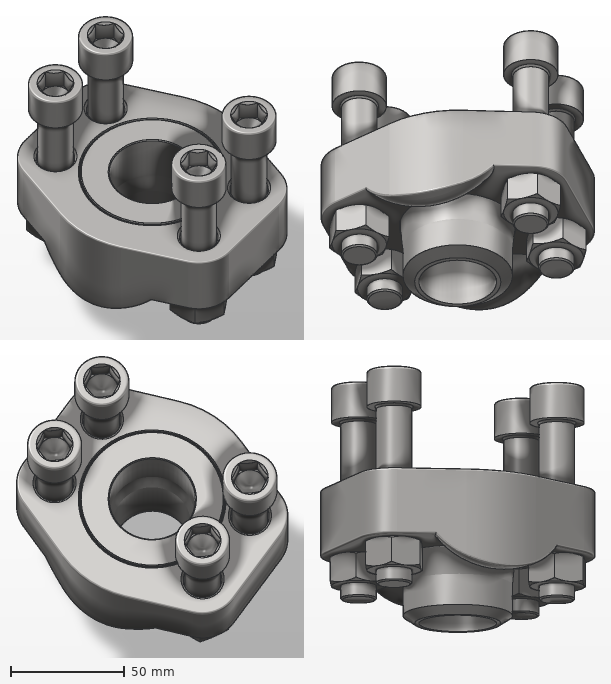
import cadquery as cq
import math


flange_length = 113.0
flange_half_width = 47.9
flange_height = 29.8
edge_round = 1.0
bolt_spacing_x = 79.4
bolt_spacing_y = 36.5
bolt_x = bolt_spacing_x / 2
bolt_y = bolt_spacing_y / 2
bolt_hole_diameter = 17.0
bolt_hole_chamfer = 1.0
corner_radius = flange_length / 2 - bolt_x

lobe_depth = 13.2
lobe_radius = 40.7
lobe_inner_y = 25.4
lobe_end_round = 17.5
rim_inner_limit = 45.2

collar_diameter = 63.5
collar_seat_diameter = 64.3
collar_height = 11.3
rim_chamfer = 0.5
hub_rise = 0.2
neck_diameter = 50.6
neck_bore_in_flange = 51.5
pipe_diameter = 48.3
taper_top = -0.5
taper_bottom = -12.7
hub_bottom = -29.7
bevel_height = 3.4
bevel_diameter = 38.0
hub_bore_diameter = 38.0
hub_outlet_diameter = 34.1
outlet_cone_bottom = -0.6
outlet_cone_height = 7.9

shank_diameter = 15.7
head_diameter = 24.0
head_height = 16.0
bolt_top = 76.7
bolt_bottom = -19.2
head_round = 1.4
neck_ring_diameter = 17.0
neck_ring_height = 1.0
tip_diameter = 14.4
socket_width = 14.0
socket_depth = 9.4
socket_turn = 40.0
drill_point_angle = 118.0

nut_width = 24.0
nut_height = 13.0
nut_chamfer_angle = 30.0

bolt_places = [(sx * bolt_x, sy * bolt_y) for sx in (-1, 1) for sy in (-1, 1)]


def hexagon_corner_diameter(width_across_flats):
    return width_across_flats / math.cos(math.radians(30))


def flange_outline():
    """Closed outline: side arcs about the centre joined by tangents to corners about the bolt axes."""
    axis_distance = math.hypot(bolt_x, bolt_y)
    radius_difference = flange_half_width - corner_radius
    tangent_angle = math.atan2(bolt_y, bolt_x) + math.acos(radius_difference / axis_distance)
    normal_x = math.cos(tangent_angle)
    normal_y = math.sin(tangent_angle)
    middle_angle = tangent_angle / 2

    end_x = flange_length / 2
    mid_x = bolt_x + corner_radius * math.cos(middle_angle)
    mid_y = bolt_y + corner_radius * math.sin(middle_angle)
    slant_x = bolt_x + corner_radius * normal_x
    slant_y = bolt_y + corner_radius * normal_y
    arc_x = flange_half_width * normal_x
    arc_y = flange_half_width * normal_y
    return (
        cq.Workplane("XY")
        .moveTo(end_x, -bolt_y)
        .lineTo(end_x, bolt_y)
        .threePointArc((mid_x, mid_y), (slant_x, slant_y))
        .lineTo(arc_x, arc_y)
        .threePointArc((0, flange_half_width), (-arc_x, arc_y))
        .lineTo(-slant_x, slant_y)
        .threePointArc((-mid_x, mid_y), (-end_x, bolt_y))
        .lineTo(-end_x, -bolt_y)
        .threePointArc((-mid_x, -mid_y), (-slant_x, -slant_y))
        .lineTo(-arc_x, -arc_y)
        .threePointArc((0, -flange_half_width), (arc_x, -arc_y))
        .lineTo(slant_x, -slant_y)
        .threePointArc((mid_x, -mid_y), (end_x, -bolt_y))
        .close()
    )


def lobe_drums():
    """Two drums along Y with rounded inner ends; their lowest parts form the lobes."""
    drum_length = flange_length / 2 - lobe_inner_y
    drum = (
        cq.Workplane("XZ", origin=(0, -lobe_inner_y, lobe_radius - lobe_depth))
        .circle(lobe_radius)
        .extrude(drum_length)
        .faces(">Y")
        .edges()
        .fillet(lobe_end_round)
    )
    return drum.union(drum.mirror("XZ"))


def countersunk_hole(diameter, depth, chamfer):
    """Cutter for a hole down from the flange top, on the Z axis, with a chamfered mouth."""
    hole = cq.Workplane("XY", origin=(0, 0, flange_height)).circle(diameter / 2).extrude(-depth)
    mouth = cq.Workplane(cq.Solid.makeCone(
        diameter / 2, diameter / 2 + chamfer, chamfer,
        pnt=cq.Vector(0, 0, flange_height - chamfer)))
    return hole.union(mouth)


def is_bottom_rim(edge):
    """True for an edge of the underside on the outer wall; all others are centred nearer the axis."""
    middle = edge.Center()
    return middle.z < edge_round and math.hypot(middle.x, middle.y) > rim_inner_limit


def make_flange():
    plate = flange_outline().extrude(flange_height)
    lobe_space = flange_outline().extrude(-lobe_depth)
    flange = plate.union(lobe_space.intersect(lobe_drums()))

    flange = flange.faces(">Z").edges().fillet(edge_round)
    flange = flange.edges("not |Z").filter(is_bottom_rim).fillet(edge_round)

    bore = (
        cq.Workplane("XY", origin=(0, 0, -lobe_depth))
        .circle(neck_bore_in_flange / 2)
        .extrude(flange_height + lobe_depth)
    )
    seat = countersunk_hole(collar_seat_diameter, collar_height, rim_chamfer)
    flange = flange.cut(bore).cut(seat)
    bolt_hole = countersunk_hole(bolt_hole_diameter, flange_height, bolt_hole_chamfer)
    for x, y in bolt_places:
        flange = flange.cut(bolt_hole.translate((x, y, 0)))
    return flange


def make_hub():
    hub_top = flange_height + hub_rise
    collar_bottom = flange_height - collar_height
    profile = [
        (hub_bore_diameter / 2, hub_top - rim_chamfer),
        (hub_bore_diameter / 2 + rim_chamfer, hub_top),
        (collar_diameter / 2 - rim_chamfer, hub_top),
        (collar_diameter / 2, hub_top - rim_chamfer),
        (collar_diameter / 2, collar_bottom),
        (neck_diameter / 2, collar_bottom),
        (neck_diameter / 2, taper_top),
        (pipe_diameter / 2, taper_bottom),
        (pipe_diameter / 2, hub_bottom + bevel_height),
        (bevel_diameter / 2, hub_bottom),
        (hub_outlet_diameter / 2, hub_bottom),
        (hub_outlet_diameter / 2, outlet_cone_bottom),
        (hub_bore_diameter / 2, outlet_cone_bottom + outlet_cone_height),
    ]
    return cq.Workplane("XZ").polyline(profile).close().revolve(360, (0, 0), (0, 1))


def make_bolt(x, y):
    head_bottom = bolt_top - head_height
    tip_chamfer = (shank_diameter - tip_diameter) / 2
    head = (
        cq.Workplane("XY", origin=(x, y, head_bottom))
        .circle(head_diameter / 2)
        .extrude(head_height)
        .faces(">Z")
        .edges()
        .fillet(head_round)
    )
    shank = (
        cq.Workplane("XY", origin=(x, y, bolt_bottom))
        .circle(shank_diameter / 2)
        .extrude(head_bottom - bolt_bottom)
        .faces("<Z")
        .edges()
        .chamfer(tip_chamfer)
    )
    neck = cq.Workplane(cq.Solid.makeCone(
        shank_diameter / 2, neck_ring_diameter / 2, neck_ring_height,
        pnt=cq.Vector(x, y, head_bottom - neck_ring_height)))

    corner_diameter = hexagon_corner_diameter(socket_width)
    socket = (
        cq.Workplane("XY", origin=(x, y, bolt_top))
        .transformed(rotate=(0, 0, socket_turn))
        .polygon(6, corner_diameter)
        .extrude(-socket_depth)
    )
    point_depth = socket_width / 2 / math.tan(math.radians(drill_point_angle / 2))
    drill_point = cq.Workplane(cq.Solid.makeCone(
        socket_width / 2, 0, point_depth,
        pnt=cq.Vector(x, y, bolt_top - socket_depth), dir=cq.Vector(0, 0, -1)))
    mouth_depth = (corner_diameter - socket_width) / 2
    mouth = cq.Workplane(cq.Solid.makeCone(
        corner_diameter / 2, socket_width / 2, mouth_depth,
        pnt=cq.Vector(x, y, bolt_top), dir=cq.Vector(0, 0, -1)))
    return head.union(shank).union(neck).cut(socket).cut(drill_point).cut(mouth)


def make_nut(x, y):
    corner_diameter = hexagon_corner_diameter(nut_width)
    hexagon = (
        cq.Workplane("XY", origin=(x, y, -nut_height))
        .polygon(6, corner_diameter)
        .circle(shank_diameter / 2)
        .extrude(nut_height)
    )
    chamfer_width = (corner_diameter - nut_width) / 2
    chamfer_height = chamfer_width * math.tan(math.radians(nut_chamfer_angle))
    disc = (
        cq.Workplane("XY", origin=(x, y, -nut_height))
        .circle(corner_diameter / 2)
        .extrude(nut_height)
        .faces("<Z or >Z")
        .edges()
        .chamfer(chamfer_height, chamfer_width)
    )
    return hexagon.intersect(disc)


flange = make_flange()
hub = make_hub()
bolts = [make_bolt(x, y) for x, y in bolt_places]
nuts = [make_nut(x, y) for x, y in bolt_places]

result = cq.Compound.makeCompound(
    [flange.val(), hub.val()]
    + [bolt.val() for bolt in bolts]
    + [nut.val() for nut in nuts]
)